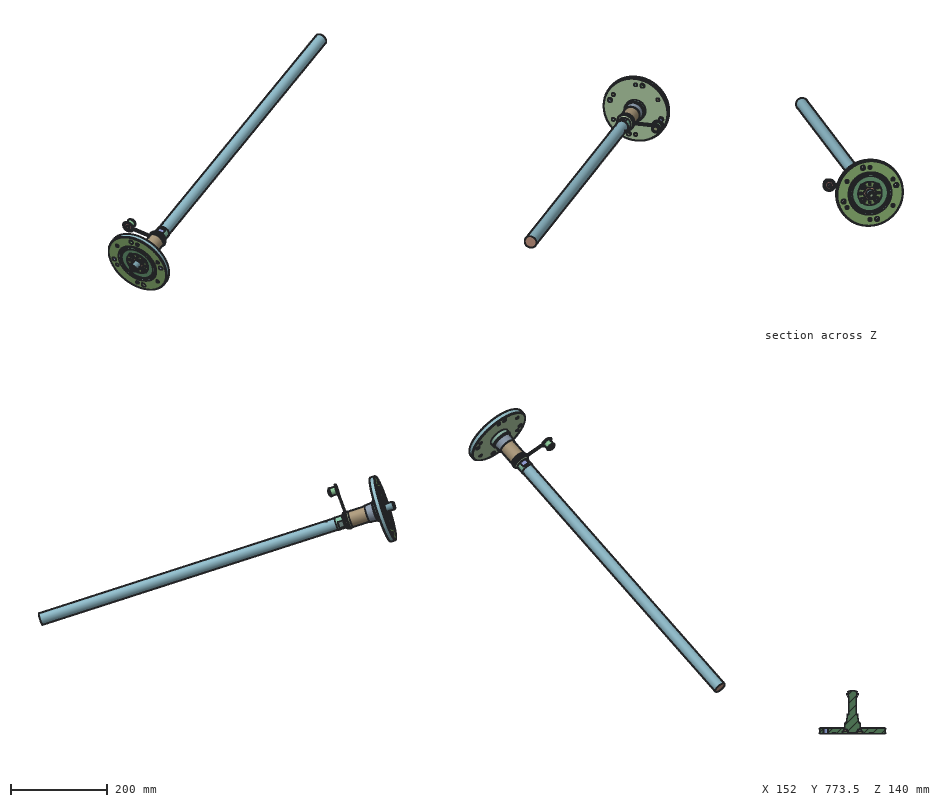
import cadquery as cq
import math


total_length = 773.5
overall_width = 152.0

rod_diameter = 25.5
rod_radius = rod_diameter / 2

shaft_radius = 8.5
shaft_chamfer = 2.0
shaft_bore_radius = 5.0
shaft_bore_depth = 5.0

flange_front = 19.0
flange_thickness = 12.0
flange_diameter = 140.0
flange_radius = flange_diameter / 2
flange_chamfer = 1.5
flange_back = flange_front + flange_thickness

small_hole_diameter = 7.0
small_hole_circle = 56.0
small_hole_count = 6
small_hole_start = 30
large_hole_diameter = 9.0
large_hole_circle = 57.0
large_hole_count = 4
large_hole_start = 15

groove_inner_radius = 37.0
groove_outer_radius = 46.0
groove_depth = 2.0
groove_wall_slope = 3.0

gland_diameter = 50.0
gland_radius = gland_diameter / 2
gland_depth = 1.5
nut_across_flats = 25.5
screw_circle = 21.0
screw_recess_diameter = 11.5
screw_recess_depth = 4.0
screw_hole_diameter = 6.0
screw_hole_depth = 8.0
screw_count = 4
screw_start = 45
pin_count = 4
pin_start = 0
pin_circle = 19.0
pin_hole_diameter = 5.0
pin_hole_depth = 5.0

hub_diameter = 44.0
hub_radius = hub_diameter / 2
hub_chamfer = 2.0
hub_end = 41.0
cone_start_diameter = 39.5
cone_start_radius = cone_start_diameter / 2
cone_end = 59.5
cone_end_diameter = 36.0
cone_end_radius = cone_end_diameter / 2
barrel_radius = 17.0
barrel_end = 96.0
collar_diameter = 35.0
collar_radius = collar_diameter / 2
collar_shoulder = 107.0
collar_end = 110.5
coupling_diameter = 27.0
coupling_radius = coupling_diameter / 2
coupling_end = 127.0

flat_height = 11.5
flat_length = 11.5

vent_station = 145.5
vent_diameter = 2.0
vent_depth = 3.0

strap_start = 100.5
strap_thickness = 2.0
strap_width = 5.0
strap_ring_radius = 18.5
cap_plate_radius = 12.0
cap_plate_chamfer = 1.0
cap_reach = overall_width - flange_radius
cap_offset = cap_reach - cap_plate_radius
cap_body_radius = 8.5
cap_rim_radius = 9.0
cap_rim_start = 115.0
cap_rim_end = 118.0
cap_rim_chamfer = 1.5
cap_knob_radius = 5.5
cap_end = 120.0
cap_bore_radius = 4.0
cap_bore_depth = 8.0


def cylinder(radius, start, end, x=0.0, z=0.0):
    """Cylinder parallel to Y between two stations."""
    plane = cq.Plane(origin=(x, start, z), xDir=(1, 0, 0), normal=(0, 1, 0))
    return cq.Workplane(plane).circle(radius).extrude(end - start)


def revolved(profile):
    """Full turn about the Y axis of a closed outline of (radius, station) points."""
    return cq.Workplane("XY").polyline(profile).close().revolve(360, (0, 0, 0), (0, 1, 0))


def ring_of_holes(count, start_angle, circle_radius, diameter, start, end):
    """Equally spaced cylinders about the Y axis, for cutting holes."""
    holes = cq.Workplane()
    for i in range(count):
        angle = math.radians(start_angle + i * 360 / count)
        x = circle_radius * math.cos(angle)
        z = circle_radius * math.sin(angle)
        holes = holes.add(cylinder(diameter / 2, start, end, x, z))
    return holes.combine()


def turned_body():
    """Shaft, flange, neck and rod revolved as one profile of (radius, station) points."""
    profile = [
        (0, 0),
        (shaft_radius - shaft_chamfer, 0),
        (shaft_radius, shaft_chamfer),
        (shaft_radius, flange_front),
        (flange_radius - flange_chamfer, flange_front),
        (flange_radius, flange_front + flange_chamfer),
        (flange_radius, flange_back - flange_chamfer),
        (flange_radius - flange_chamfer, flange_back),
        (hub_radius, flange_back),
        (hub_radius, hub_end),
        (cone_start_radius, hub_end + hub_chamfer),
        (cone_end_radius, cone_end),
        (barrel_radius, cone_end),
        (barrel_radius, barrel_end),
        (collar_radius, barrel_end),
        (collar_radius, collar_shoulder),
        (coupling_radius, collar_end),
        (coupling_radius, coupling_end),
        (rod_radius, coupling_end),
        (rod_radius, total_length),
        (0, total_length),
    ]
    return revolved(profile)


def cut_flange_holes(body):
    """Two patterns of holes right through the flange."""
    for count, start_angle, circle_radius, diameter in (
        (small_hole_count, small_hole_start, small_hole_circle, small_hole_diameter),
        (large_hole_count, large_hole_start, large_hole_circle, large_hole_diameter),
    ):
        body = body.cut(ring_of_holes(count, start_angle, circle_radius, diameter, flange_front, flange_back))
    return body


def cut_seal_groove(body):
    """Ring groove round the gland, narrowing towards its floor."""
    floor = flange_front + groove_depth
    profile = [
        (groove_inner_radius, flange_front),
        (groove_inner_radius + groove_wall_slope, floor),
        (groove_outer_radius - groove_wall_slope, floor),
        (groove_outer_radius, flange_front),
    ]
    return body.cut(revolved(profile))


def add_gland(body):
    """Shallow recess round the shaft with a hexagonal nut, counterbored screw holes and pin holes."""
    floor = flange_front + gland_depth
    recess = cylinder(gland_radius, flange_front, floor)
    nut_plane = cq.Plane(origin=(0, flange_front, 0), xDir=(1, 0, 0), normal=(0, 1, 0))
    nut_corner_diameter = nut_across_flats / math.cos(math.pi / 6)
    nut = cq.Workplane(nut_plane).polygon(6, nut_corner_diameter).extrude(gland_depth)
    body = body.cut(recess.cut(nut))
    for diameter, depth in (
        (screw_recess_diameter, screw_recess_depth),
        (screw_hole_diameter, screw_hole_depth),
    ):
        holes = ring_of_holes(screw_count, screw_start, screw_circle, diameter, floor, floor + depth)
        body = body.cut(holes)
    pins = ring_of_holes(pin_count, pin_start, pin_circle, pin_hole_diameter, floor, floor + pin_hole_depth)
    return body.cut(pins)


def cut_wrench_flats(body):
    """Two opposite flats on the +Z and -Z sides of the coupling."""
    cutter_depth = coupling_radius - flat_height
    for side in (1, -1):
        cutter = cq.Workplane("XY").box(2 * coupling_radius, flat_length, cutter_depth)
        cutter = cutter.translate((0, collar_end + flat_length / 2, side * (flat_height + cutter_depth / 2)))
        body = body.cut(cutter)
    return body


def cut_vent(body):
    """Small blind hole in the -X side of the rod."""
    vent = cq.Workplane("YZ", origin=(-rod_radius, 0, 0)).center(vent_station, 0)
    return body.cut(vent.circle(vent_diameter / 2).extrude(vent_depth))


def tethered_cap():
    """Knobbed cap with a bored plate, strap and the ring that clips round the neck."""
    strap_end = strap_start + strap_thickness
    profile = [
        (cap_bore_radius, strap_start),
        (cap_plate_radius - cap_plate_chamfer, strap_start),
        (cap_plate_radius, strap_start + cap_plate_chamfer),
        (cap_plate_radius, strap_end),
        (cap_body_radius, strap_end),
        (cap_body_radius, cap_rim_start),
        (cap_rim_radius, cap_rim_start),
        (cap_rim_radius, cap_rim_end - cap_rim_chamfer),
        (cap_rim_radius - cap_rim_chamfer, cap_rim_end),
        (cap_knob_radius, cap_rim_end),
        (cap_knob_radius, cap_end),
        (0, cap_end),
        (0, strap_start + cap_bore_depth),
        (cap_bore_radius, strap_start + cap_bore_depth),
    ]
    cap = revolved(profile).translate((-cap_offset, 0, 0))
    strap_length = cap_offset - cap_body_radius
    strap = cq.Workplane("XY").box(strap_length, strap_thickness, strap_width)
    strap = strap.translate((-strap_length / 2, strap_start + strap_thickness / 2, 0))
    ring = cylinder(strap_ring_radius, strap_start, strap_end)
    return cap.union(strap).union(ring)


result = turned_body()
result = result.cut(cylinder(shaft_bore_radius, 0, shaft_bore_depth))
result = cut_flange_holes(result)
result = cut_seal_groove(result)
result = add_gland(result)
result = cut_wrench_flats(result)
result = cut_vent(result)
result = result.union(tethered_cap())